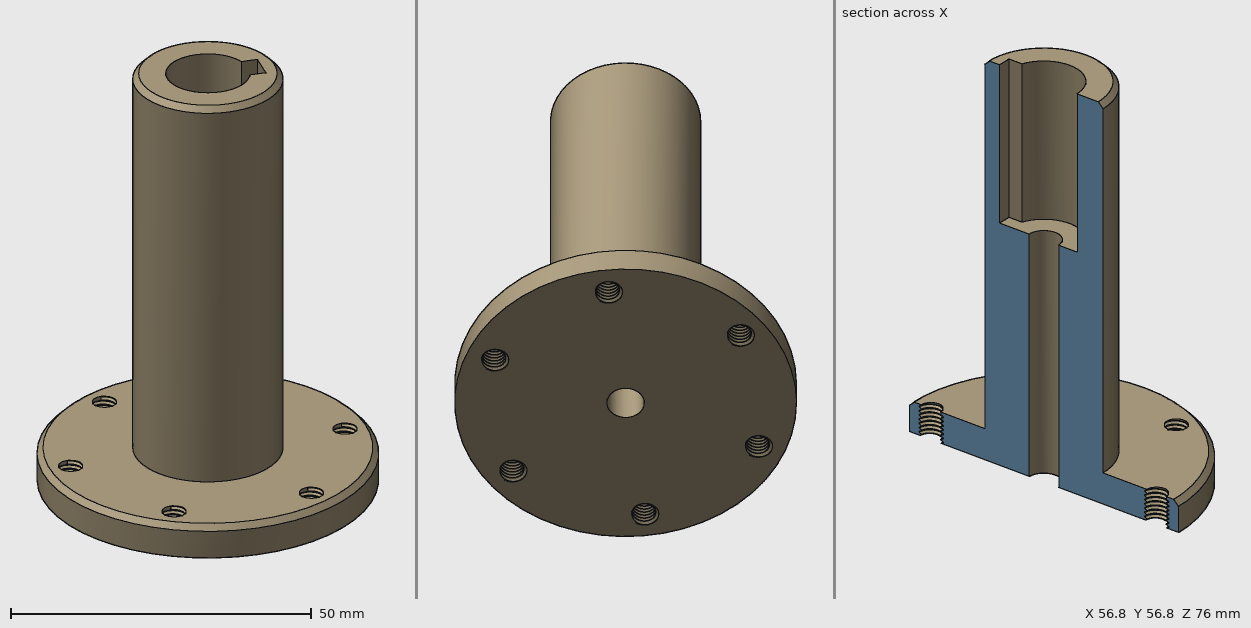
import cadquery as cq
import math

FLANGE_DIAMETER = 56.8
FLANGE_THICKNESS = 6.0

SHAFT_DIAMETER = 25.0
TOTAL_HEIGHT = 76.0
EDGE_CHAMFER = 1.0

BORE_DIAMETER = 14.0
BORE_DEPTH = 30.0
THROUGH_HOLE_DIAMETER = 6.2
KEYWAY_WIDTH = 5.0
KEYWAY_TOP_FROM_AXIS = 9.3

BOLT_COUNT = 6
BOLT_HOLE_DIAMETER = 4.0
THREAD_MAJOR_DIAMETER = 5.0
THREAD_PITCH = 0.8
THREAD_HALF_ANGLE = 30.0
THREAD_ROOT_FLAT = THREAD_PITCH / 8
THREAD_DROP = 0.3
THREAD_OVERLAP = 0.1
HOLE_SEAM_ANGLE = 97.0
BOLT_CIRCLE_DIAMETER = 47.5
FIRST_BOLT_ANGLE = 90.0


def cylinder_with_top_chamfer(diameter, height):
    """Upright cylinder on Z = 0 with its top rim chamfered."""
    blank = cq.Workplane("XY").circle(diameter / 2).extrude(height)
    return blank.faces(">Z").chamfer(EDGE_CHAMFER)


def stepped_bore():
    """Axial hole through the whole part, widened at the shaft end."""
    through_hole = cq.Workplane("XY").circle(THROUGH_HOLE_DIAMETER / 2).extrude(TOTAL_HEIGHT)
    bore_floor = cq.Workplane("XY").workplane(offset=TOTAL_HEIGHT - BORE_DEPTH)
    return through_hole.union(bore_floor.circle(BORE_DIAMETER / 2).extrude(BORE_DEPTH))


def keyway():
    """Slot from the axis toward +Y, as deep as the wide bore."""
    return (
        cq.Workplane("XY")
        .workplane(offset=TOTAL_HEIGHT - BORE_DEPTH)
        .rect(KEYWAY_WIDTH, KEYWAY_TOP_FROM_AXIS, centered=(True, False))
        .extrude(BORE_DEPTH)
    )


def thread_groove():
    """Right-handed 60 degree thread groove wound around the Z axis."""
    outer_radius = THREAD_MAJOR_DIAMETER / 2
    inner_radius = BOLT_HOLE_DIAMETER / 2 - THREAD_OVERLAP
    flank_rise = (outer_radius - inner_radius) * math.tan(math.radians(THREAD_HALF_ANGLE))
    outer_half_width = THREAD_ROOT_FLAT / 2
    inner_half_width = outer_half_width + flank_rise

    helix = cq.Wire.makeHelix(THREAD_PITCH, FLANGE_THICKNESS, BOLT_HOLE_DIAMETER / 2)
    profile = cq.Workplane("XZ").polyline(
        [
            (inner_radius, -THREAD_DROP - inner_half_width),
            (outer_radius, -THREAD_DROP - outer_half_width),
            (outer_radius, -THREAD_DROP + outer_half_width),
            (inner_radius, -THREAD_DROP + inner_half_width),
        ]
    )
    return profile.close().sweep(cq.Workplane(helix), isFrenet=True)


def tapped_holes(part):
    """Cut a ring of threaded through holes into the flange of the part."""
    hole = cq.Workplane("XY").circle(BOLT_HOLE_DIAMETER / 2).extrude(FLANGE_THICKNESS)
    hole = hole.rotate((0, 0, 0), (0, 0, 1), HOLE_SEAM_ANGLE)
    groove = thread_groove()
    for index in range(BOLT_COUNT):
        angle = math.radians(FIRST_BOLT_ANGLE + index * 360 / BOLT_COUNT)
        x = BOLT_CIRCLE_DIAMETER / 2 * math.cos(angle)
        y = BOLT_CIRCLE_DIAMETER / 2 * math.sin(angle)
        part = part.cut(hole.translate((x, y, 0))).cut(groove.translate((x, y, 0)))
    return part


flange = cylinder_with_top_chamfer(FLANGE_DIAMETER, FLANGE_THICKNESS)
shaft = cylinder_with_top_chamfer(SHAFT_DIAMETER, TOTAL_HEIGHT)
body = flange.union(shaft).cut(stepped_bore()).cut(keyway())
result = tapped_holes(body)